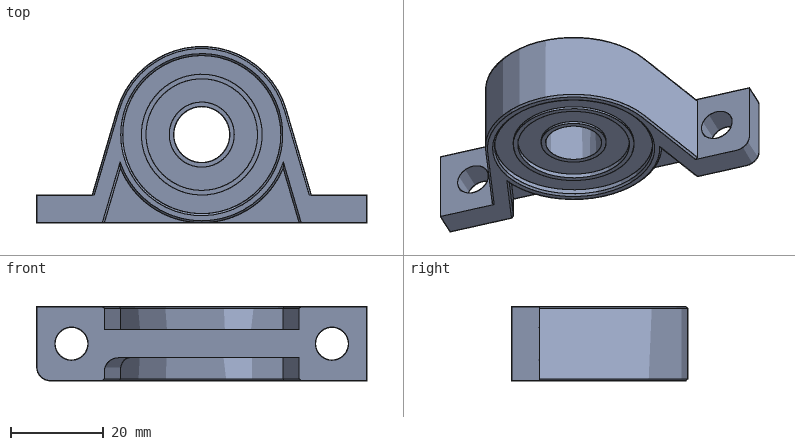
import cadquery as cq
import math

length = 71.0
height = 16.0
boss_radius = 18.95
foot_depth = 5.95
shoulder_half_width = 23.6
foot_corner_radius = 3.0
edge_chamfer = 0.4
mount_hole_diameter = 7.0
mount_hole_spacing = 56.0

pocket_half_width = 20.95
pocket_depth = 5.0
pocket_fillet_radius = 3.0

insert_diameter = 34.0
outer_race_diameter = 26.0
outer_race_bore = 24.0
inner_race_diameter = 14.0
shaft_diameter = 12.0

outer_race_recess = 1.0
recess_step = 0.5
insert_recess = outer_race_recess + recess_step
inner_race_recess = outer_race_recess + recess_step
shield_recess = inner_race_recess + recess_step

shoulder_drop = boss_radius - foot_depth
shoulder_distance = math.hypot(shoulder_half_width, shoulder_drop)
slope_angle = (math.acos(boss_radius / shoulder_distance)
               - math.atan2(shoulder_drop, shoulder_half_width))
tangent_x = boss_radius * math.cos(slope_angle)
tangent_y = boss_radius + boss_radius * math.sin(slope_angle)


def make_foot():
    foot = cq.Workplane("XY").box(length, foot_depth, height, centered=(True, False, False))
    return foot.edges("|Y").edges("<X").edges("<Z").fillet(foot_corner_radius)


def make_boss():
    """Solid behind the foot: round end with two tangent sloped sides."""
    base_half_width = shoulder_half_width + foot_depth * math.tan(slope_angle)
    boss = (
        cq.Workplane("XY")
        .moveTo(-base_half_width, 0)
        .lineTo(base_half_width, 0)
        .lineTo(tangent_x, tangent_y)
        .threePointArc((0, 2 * boss_radius), (-tangent_x, tangent_y))
        .close()
        .extrude(height)
    )
    boss = boss.faces("<Z or >Z").edges("not <Y").chamfer(edge_chamfer)
    behind_foot = cq.Workplane("XY").box(
        length, 2 * boss_radius, height, centered=(True, False, False)
    ).translate((0, foot_depth, 0))
    return boss.intersect(behind_foot)


def make_wedge(half_width, overrun):
    """Triangle profile parallel to the sloped sides, with the given half width at Y = 0."""
    slope = math.tan(slope_angle)
    base_half_width = half_width + overrun * slope
    return (
        cq.Workplane("XY")
        .polyline([(-base_half_width, -overrun), (base_half_width, -overrun), (0, half_width / slope)])
        .close()
    )


def make_pocket(left_fillet_radius=0):
    """Cutter from the Z = 0 face up to the web, leaving the round boss standing."""
    pocket = make_wedge(pocket_half_width, foot_depth).extrude(pocket_depth)
    if left_fillet_radius:
        pocket = pocket.faces(">Z").edges("<X").fillet(left_fillet_radius)
    mouth_half_width = pocket_half_width + edge_chamfer / math.cos(slope_angle)
    mouth = make_wedge(mouth_half_width, foot_depth).extrude(edge_chamfer, taper=45)
    boss_core = (
        cq.Workplane("XY")
        .center(0, boss_radius)
        .circle(boss_radius)
        .extrude(height)
        .faces("<Z")
        .edges()
        .chamfer(edge_chamfer)
    )
    front_half = cq.Workplane("XY").box(length, 2 * boss_radius, height)
    return pocket.union(mouth).intersect(front_half).cut(boss_core)


def make_mount_holes():
    return (
        cq.Workplane("XZ")
        .pushPoints([(-mount_hole_spacing / 2, height / 2), (mount_hole_spacing / 2, height / 2)])
        .circle(mount_hole_diameter / 2)
        .extrude(-foot_depth)
    )


def make_bore():
    """Cutter for the insert seat, flared at both housing faces."""
    bore = cq.Workplane("XY").center(0, boss_radius).circle(insert_diameter / 2).extrude(height)
    for level, direction in ((0, 1), (height, -1)):
        mouth = cq.Solid.makeCone(
            insert_diameter / 2 + edge_chamfer,
            insert_diameter / 2,
            edge_chamfer,
            pnt=cq.Vector(0, boss_radius, level),
            dir=cq.Vector(0, 0, direction),
        )
        bore = bore.union(cq.Workplane(mouth))
    return bore


def make_housing():
    housing = make_foot().union(make_boss())
    bottom_pocket = make_pocket(pocket_fillet_radius)
    top_pocket = make_pocket().mirror("XY").translate((0, 0, height))
    housing = housing.cut(bottom_pocket).cut(top_pocket)
    return housing.cut(make_mount_holes()).cut(make_bore())


def make_ring(outer_diameter, inner_diameter, recess):
    """Ring on the bearing axis whose two faces lie below the housing faces by the recess."""
    return (
        cq.Workplane("XY", origin=(0, boss_radius, recess))
        .circle(outer_diameter / 2)
        .circle(inner_diameter / 2)
        .extrude(height - 2 * recess)
    )


housing = make_housing()
insert = make_ring(insert_diameter, outer_race_diameter, insert_recess)
outer_race = make_ring(outer_race_diameter, outer_race_bore, outer_race_recess)
shield = make_ring(outer_race_bore, inner_race_diameter, shield_recess)
inner_race = make_ring(inner_race_diameter, shaft_diameter, inner_race_recess)

result = cq.Compound.makeCompound(
    [housing.val(), insert.val(), outer_race.val(), shield.val(), inner_race.val()]
)